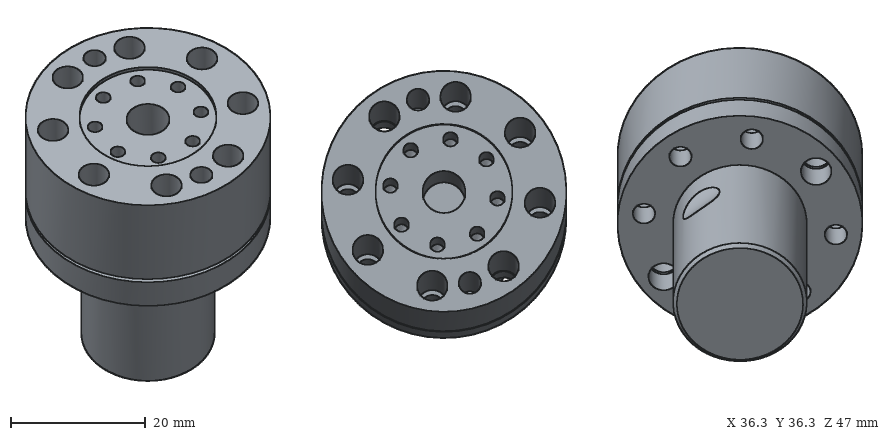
import cadquery as cq
import math

total_height = 47.0
head_dia = 36.3

shank_dia = 19.85
shank_length = 25.37
shank_chamfer = 0.55
flange_thickness = 5.07
neck_dia = 22.6
neck_height = 0.65
groove_dia = 13.95
groove_depth = 0.6
groove_height = 17.75

disk_dia = 20.3
disk_recess = 0.6
centre_hole_dia = 6.35
centre_hole_depth = 9.4
tapped_hole_dia = 2.15
tapped_hole_depth = 5.65
tapped_circle_radius = 8.0
drill_point_angle = 118.0

bolt_circle_radius = 14.35
bolt_count = 8
bolt_step = 360.0 / bolt_count
ring_hole_dia = 4.5
flange_hole_dia = 3.3
locating_hole_dia = 3.3
locating_angles = [157.5, 337.5]

flange_top = shank_length + flange_thickness
ring_bottom = flange_top + neck_height
disk_top = total_height - disk_recess
bolt_angles = [i * bolt_step for i in range(bolt_count)]
side_angles = [0.0, 180.0]
screw_angles = [angle for angle in bolt_angles if angle not in side_angles]


def cylinder(diameter, bottom, top):
    """Upright cylinder on the part axis between two levels."""
    return cq.Workplane("XY").workplane(offset=bottom).circle(diameter / 2).extrude(top - bottom)


def polar_points(radius, angles):
    """Points on a circle about the part axis, at angles in degrees from +X."""
    return [
        (radius * math.cos(math.radians(angle)), radius * math.sin(math.radians(angle)))
        for angle in angles
    ]


def hole_cutters(diameter, points, bottom, top):
    """Upright cylinders that cut straight holes at the given points."""
    plane = cq.Workplane("XY").workplane(offset=bottom)
    return plane.pushPoints(points).circle(diameter / 2).extrude(top - bottom)


def drilled_hole_cutter(diameter, depth, point, top):
    """Blind hole with a conical drill point below its straight depth."""
    radius = diameter / 2
    point_height = radius / math.tan(math.radians(drill_point_angle / 2))
    profile = [(0, 0), (radius, 0), (radius, -depth), (0, -depth - point_height)]
    cutter = cq.Workplane("XZ").polyline(profile).close().revolve(360, (0, 0), (0, 1))
    return cutter.translate((point[0], point[1], top))


def side_groove_cutter():
    """Cylinder along X that mills a shallow round groove into the +Y side of the shank."""
    axis_y = shank_dia / 2 - groove_depth + groove_dia / 2
    plane = cq.Workplane("YZ").center(axis_y, groove_height)
    return plane.circle(groove_dia / 2).extrude(shank_dia / 2, both=True)


def make_shank_holder():
    shank = cylinder(shank_dia, 0, shank_length).faces("<Z").chamfer(shank_chamfer)
    shank = shank.cut(side_groove_cutter())
    flange = cylinder(head_dia, shank_length, flange_top)
    neck = cylinder(neck_dia, flange_top, ring_bottom)
    holder = shank.union(flange).union(neck)
    screw_points = polar_points(bolt_circle_radius, screw_angles)
    side_points = polar_points(bolt_circle_radius, side_angles)
    holder = holder.cut(hole_cutters(flange_hole_dia, screw_points, shank_length, flange_top))
    return holder.cut(hole_cutters(ring_hole_dia, side_points, shank_length, flange_top))


def make_ring():
    ring = cylinder(head_dia, ring_bottom, total_height)
    ring = ring.cut(cylinder(disk_dia, ring_bottom, total_height))
    bolt_points = polar_points(bolt_circle_radius, bolt_angles)
    locating_points = polar_points(bolt_circle_radius, locating_angles)
    ring = ring.cut(hole_cutters(ring_hole_dia, bolt_points, ring_bottom, total_height))
    return ring.cut(hole_cutters(locating_hole_dia, locating_points, ring_bottom, total_height))


def make_disk():
    disk = cylinder(disk_dia, ring_bottom, disk_top)
    disk = disk.cut(cylinder(centre_hole_dia, disk_top - centre_hole_depth, disk_top))
    for point in polar_points(tapped_circle_radius, bolt_angles):
        disk = disk.cut(drilled_hole_cutter(tapped_hole_dia, tapped_hole_depth, point, disk_top))
    return disk


shank_holder = make_shank_holder()
ring = make_ring()
disk = make_disk()

result = cq.Compound.makeCompound([shank_holder.val(), ring.val(), disk.val()])